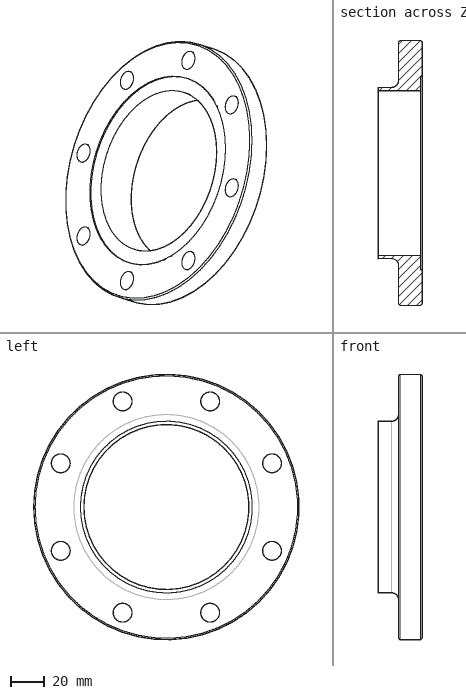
import cadquery as cq

flange_diameter = 157.0
flange_thickness = 14.1
rim_chamfer = 1.0

total_length = 26.0
neck_diameter = 101.6
neck_fillet = 4.0
bore_diameter = 97.3
recess_diameter = 114.3
recess_depth = 1.0

bolt_count = 8
bolt_hole_diameter = 11.0
bolt_circle_diameter = 135.2
bolt_step = 360 / bolt_count

neck_length = total_length - flange_thickness


def disc(start_x, length, diameter):
    """Cylinder along +X, starting at start_x."""
    return cq.Workplane("YZ", origin=(start_x, 0, 0)).circle(diameter / 2).extrude(length)


def bolt_holes():
    """Ring of through holes, set half a step away from the Y and Z axes."""
    return (
        cq.Workplane("YZ", origin=(neck_length, 0, 0))
        .polarArray(bolt_circle_diameter / 2, bolt_step / 2, 360, bolt_count)
        .circle(bolt_hole_diameter / 2)
        .extrude(flange_thickness)
    )


flange = disc(neck_length, flange_thickness, flange_diameter).edges().chamfer(rim_chamfer)

neck = disc(0, neck_length, neck_diameter)
root_edge = cq.selectors.BoxSelector(
    (neck_length - rim_chamfer / 2, -neck_diameter, -neck_diameter),
    (neck_length + rim_chamfer / 2, neck_diameter, neck_diameter),
)
body = flange.union(neck)
body = body.edges(root_edge).edges(cq.selectors.RadiusNthSelector(0)).fillet(neck_fillet)

bore = disc(0, total_length, bore_diameter)
recess = disc(total_length - recess_depth, recess_depth, recess_diameter)
result = body.cut(bore).cut(recess).cut(bolt_holes())